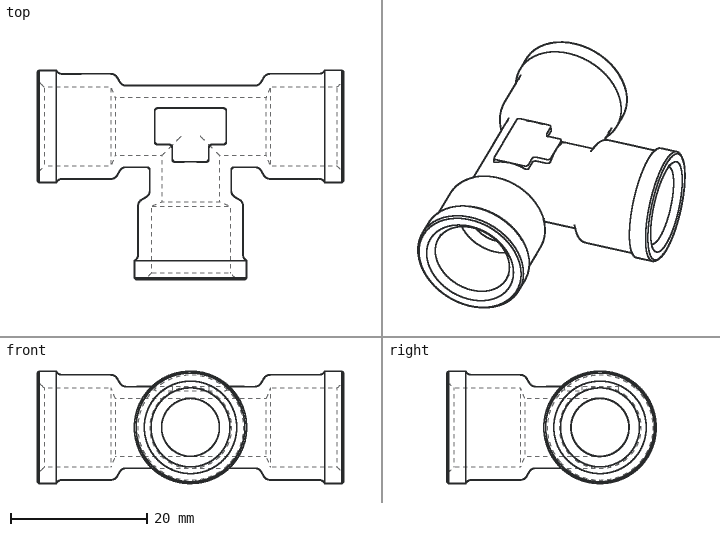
import cadquery as cq
import math

arm_length = 22.5
rim_diameter = 16.5
body_diameter = 15.5
neck_diameter = 12.0
socket_diameter = 11.6
mouth_diameter = 13.6
bore_diameter = 8.5

rim_length = 2.8
rim_cove_radius = 0.9
rim_chamfer = 0.25
body_end_depth = 11.45
socket_depth = 10.8
mouth_angle = 45.0
socket_floor_angle = 68.0
shoulder_angle = 60.0
shoulder_round = 1.12
shoulder_fillet = 1.0

pad_height = 6.05
pad_bar_length = 10.5
pad_width = 5.3
pad_stem_end = 5.2
pad_corner_radius = 0.45
pad_thickness = 1.35
pad_draft = 5.0

crotch_fillet = 0.4

selection_margin = 0.05

rim_radius = rim_diameter / 2
body_radius = body_diameter / 2
neck_radius = neck_diameter / 2
bore_radius = bore_diameter / 2
socket_radius = socket_diameter / 2
mouth_radius = mouth_diameter / 2

arm_directions = (0, 180, -90)


def revolve_about_x(profile):
    return profile.close().revolve(360, (0, 0, 0), (1, 0, 0))


def circle_at(x):
    """Selector for the circular edge around the X axis at the given X."""
    reach = rim_diameter
    return cq.selectors.BoxSelector(
        (x - selection_margin, -reach, -reach),
        (x + selection_margin, reach, reach),
        boundingbox=True,
    )


def socket_shell():
    """Outside of one socket end: body, rim and the shoulder down to the neck."""
    body_inner_end = arm_length - body_end_depth
    shoulder_run = (body_radius - neck_radius) / math.tan(math.radians(shoulder_angle))
    rim_back = arm_length - rim_length

    rim_step = rim_radius - body_radius
    cove_angle = math.acos(1 - rim_step / rim_cove_radius)
    body_outer_end = rim_back - rim_cove_radius * math.sin(cove_angle)
    cove_middle = (
        body_outer_end + rim_cove_radius * math.sin(cove_angle / 2),
        body_radius + rim_cove_radius * (1 - math.cos(cove_angle / 2)),
    )

    shell = revolve_about_x(
        cq.Workplane("XY")
        .lineTo(0, neck_radius)
        .lineTo(body_inner_end - shoulder_run, neck_radius)
        .lineTo(body_inner_end, body_radius)
        .lineTo(body_outer_end, body_radius)
        .threePointArc(cove_middle, (rim_back, rim_radius))
        .lineTo(arm_length - rim_chamfer, rim_radius)
        .lineTo(arm_length, rim_radius - rim_chamfer)
        .lineTo(arm_length, 0)
    )
    shell = shell.edges(circle_at(body_inner_end)).fillet(shoulder_round)
    return shell.edges(circle_at(body_inner_end - shoulder_run)).fillet(shoulder_fillet)


def socket_cavity():
    mouth_run = (mouth_radius - socket_radius) / math.tan(math.radians(mouth_angle))
    floor_run = (socket_radius - bore_radius) / math.tan(math.radians(socket_floor_angle))
    floor_start = arm_length - socket_depth
    return revolve_about_x(
        cq.Workplane("XY")
        .lineTo(0, bore_radius)
        .lineTo(floor_start - floor_run, bore_radius)
        .lineTo(floor_start, socket_radius)
        .lineTo(arm_length - mouth_run, socket_radius)
        .lineTo(arm_length, mouth_radius)
        .lineTo(arm_length, 0)
    )


def tee(arm):
    arms = [arm.rotate((0, 0, 0), (0, 0, 1), angle) for angle in arm_directions]
    return arms[0].union(arms[1]).union(arms[2])


def pad():
    """Flat T with drafted sides that widen downward into the necks."""
    half_bar = pad_bar_length / 2
    half_width = pad_width / 2
    outline = (
        cq.Sketch()
        .polygon([
            (-half_bar, half_width),
            (half_bar, half_width),
            (half_bar, -half_width),
            (half_width, -half_width),
            (half_width, -pad_stem_end),
            (-half_width, -pad_stem_end),
            (-half_width, -half_width),
            (-half_bar, -half_width),
            (-half_bar, half_width),
        ])
        .vertices()
        .fillet(pad_corner_radius)
    )
    return (
        cq.Workplane("XY", origin=(0, 0, pad_height))
        .placeSketch(outline)
        .extrude(-pad_thickness, taper=-pad_draft)
    )


def round_crotches(body):
    """Round the creases where the branch meets the two sides of the run."""
    crease_span = neck_radius + selection_margin
    crease_box = cq.selectors.BoxSelector(
        (-crease_span, -crease_span, -crease_span),
        (crease_span, selection_margin, crease_span),
        boundingbox=True,
    )
    return body.edges(crease_box).fillet(crotch_fillet)


outside = round_crotches(tee(socket_shell())).union(pad())
result = outside.cut(tee(socket_cavity()))